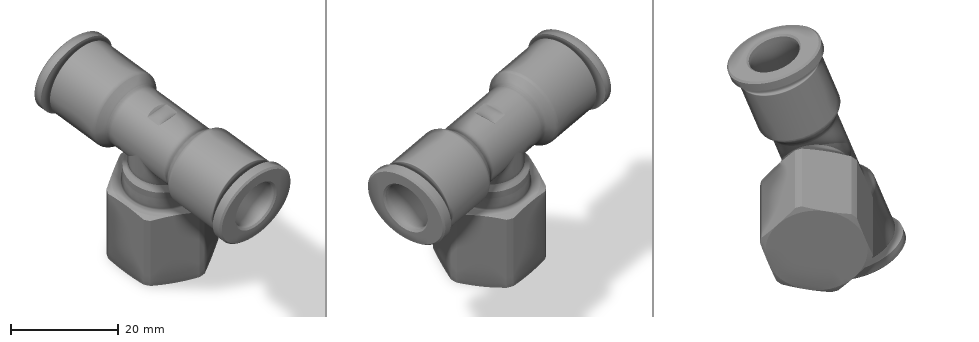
import cadquery as cq
import math


length = 50.0
height = 37.35
body_radius = 8.15
waist_radius = 6.5
body_end = 21.75
body_shoulder = 10.05
waist_end = 7.9
taper_fillet = 1.0
body_edge_fillet = 0.15

collar_thickness = 2.05
collar_half_width = 9.25
collar_half_height = 8.0
collar_chamfer = 0.35
stem_radius = 5.8
bore_radius = 5.0
bore_chamfer = 0.35
bore_depth = length / 2 - body_shoulder

shoulder_depth = 7.05
neck_straight_depth = 8.6
neck_radius = 7.5
neck_base_radius = 7.7
neck_base_fillet = 0.35

hex_across_flats = 19.0
hex_corner_radius = 10.6
hex_top_depth = 11.3
hex_bottom_depth = height - body_radius
hex_chamfer_height = 0.35

flat_depth = 0.5
flat_half_length = 1.5


def make_run():
    half_outline = [
        (waist_end, waist_radius),
        (body_shoulder, body_radius),
        (body_end, body_radius),
        (body_end, 0),
    ]
    mirrored = [(-x, r) for x, r in reversed(half_outline)]
    run = cq.Workplane("XY").polyline(mirrored + half_outline).close()
    run = run.revolve(360, (0, 0, 0), (1, 0, 0))
    for side in (-1, 1):
        for place, radius in (
            (waist_end, taper_fillet),
            (body_shoulder, taper_fillet),
            (body_end, body_edge_fillet),
        ):
            edge = cq.selectors.NearestToPointSelector((side * place, 0, 0))
            run = run.edges("%CIRCLE").edges(edge).fillet(radius)
    return run


def make_collar():
    """Collar and stem on the +X end; the stem reaches into the body."""
    collar_start = length / 2 - collar_thickness
    collar = (
        cq.Workplane("YZ", origin=(collar_start, 0, 0))
        .ellipse(collar_half_width, collar_half_height)
        .extrude(collar_thickness)
        .faces(">X")
        .chamfer(collar_chamfer)
    )
    stem = (
        cq.Workplane("YZ", origin=(body_shoulder, 0, 0))
        .circle(stem_radius)
        .extrude(collar_start - body_shoulder)
    )
    return collar.union(stem)


def make_bore():
    """Blind tube socket with a chamfered mouth on the +X end."""
    mouth = length / 2
    outline = [
        (mouth - bore_depth, 0),
        (mouth - bore_depth, bore_radius),
        (mouth - bore_chamfer, bore_radius),
        (mouth, bore_radius + bore_chamfer),
        (mouth, 0),
    ]
    return cq.Workplane("XY").polyline(outline).close().revolve(360, (0, 0, 0), (1, 0, 0))


def make_neck():
    shoulder_start = shoulder_depth - (neck_radius - waist_radius)
    return (
        cq.Workplane("XZ")
        .moveTo(0, 0)
        .lineTo(waist_radius, 0)
        .lineTo(waist_radius, -shoulder_start)
        .lineTo(neck_radius, -shoulder_depth)
        .lineTo(neck_radius, -neck_straight_depth)
        .lineTo(neck_base_radius, -hex_top_depth + neck_base_fillet)
        .radiusArc((neck_base_radius + neck_base_fillet, -hex_top_depth), -neck_base_fillet)
        .lineTo(0, -hex_top_depth)
        .close()
        .revolve(360, (0, 0, 0), (0, 1, 0))
    )


def make_hex():
    """Hexagon trimmed by a turned blank that rounds and bevels its corners."""
    hex_height = hex_bottom_depth - hex_top_depth
    across_corners = hex_across_flats / math.cos(math.radians(30))
    prism = (
        cq.Workplane("XY", origin=(0, 0, -hex_bottom_depth))
        .polygon(6, across_corners)
        .extrude(hex_height)
    )
    outline = [
        (0, -hex_top_depth),
        (hex_across_flats / 2, -hex_top_depth),
        (hex_corner_radius, -hex_top_depth - hex_chamfer_height),
        (hex_corner_radius, -hex_bottom_depth + hex_chamfer_height),
        (hex_across_flats / 2, -hex_bottom_depth),
        (0, -hex_bottom_depth),
    ]
    blank = cq.Workplane("XZ").polyline(outline).close().revolve(360, (0, 0, 0), (0, 1, 0))
    return prism.intersect(blank)


def make_flat_cutter():
    """Trapezoidal groove across Y with 45 degree ends."""
    top_half_length = flat_half_length + flat_depth
    outline = [
        (-top_half_length, waist_radius),
        (-flat_half_length, waist_radius - flat_depth),
        (flat_half_length, waist_radius - flat_depth),
        (top_half_length, waist_radius),
    ]
    return cq.Workplane("XZ").polyline(outline).close().extrude(waist_radius, both=True)


collar = make_collar()
bore = make_bore()
result = make_run().union(make_neck()).union(make_hex()).cut(make_flat_cutter())
result = result.union(collar).union(collar.mirror("YZ"))
result = result.cut(bore).cut(bore.mirror("YZ"))